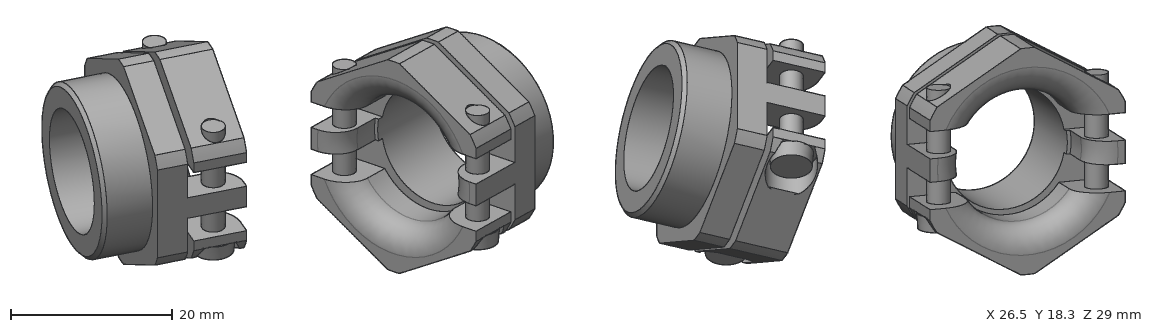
import cadquery as cq
import math

ACROSS_FLATS = 26.0
CORNER_DIAMETER = 29.0
BORE_DIAMETER = 16.0

CLAMP_BORE_DIAMETER = 17.0
MOUTH_RADIUS = 3.5

SPIGOT_LENGTH = 6.5
SPIGOT_DIAMETER = 22.5
SPIGOT_CHAMFER = 0.5
FLANGE_LENGTH = 4.0
SLIT_WIDTH = 0.8
CLAMP_LENGTH = 7.0
clamp_start = FLANGE_LENGTH + SLIT_WIDTH
back_face = clamp_start + CLAMP_LENGTH

TAB_THICKNESS = 3.0
JAW_GAP = 10.0

SCREW_SPACING = 21.0
SCREW_DIAMETER = 3.0
SHANK_LENGTH = 16.0
HEAD_DIAMETER = 5.5
HEAD_END_DIAMETER = 5.2
HEAD_HEIGHT = 2.0
HEAD_SEAT_Z = -6.4
RECESS_DIAMETER = 6.5
RECESS_DEPTH = 4.0
screw_y = clamp_start + CLAMP_LENGTH / 2
screw_positions = [(side * SCREW_SPACING / 2, screw_y) for side in (-1, 1)]

TRIM_SIZE = 2 * CORNER_DIAMETER


def disc(diameter, start, length):
    """Cylinder along +Y from Y = start."""
    plane = cq.Workplane("XZ", origin=(0, start, 0))
    return plane.circle(diameter / 2).extrude(-length)


def hex_ring(start, length):
    """Hexagon with flats on +/-X, corners rounded by a cylinder, bored through."""
    plane = cq.Workplane("XZ", origin=(0, start, 0))
    across_corners = ACROSS_FLATS / math.cos(math.pi / 6)
    hexagon = plane.transformed(rotate=(0, 0, 30)).polygon(6, across_corners).extrude(-length)
    rounded = hexagon.intersect(disc(CORNER_DIAMETER, start, length))
    return rounded.cut(disc(BORE_DIAMETER, start, length))


def clamp_bore():
    """Cutter for the wider bore in the clamp zone and its bell mouth."""
    bore_radius = CLAMP_BORE_DIAMETER / 2
    mouth_start = back_face - MOUTH_RADIUS
    mouth_edge_radius = bore_radius + MOUTH_RADIUS
    arc_reach = MOUTH_RADIUS * math.sin(math.pi / 4)
    arc_middle = (mouth_edge_radius - arc_reach, mouth_start + arc_reach)
    half_profile = (
        cq.Workplane("XY")
        .moveTo(0, clamp_start)
        .lineTo(bore_radius, clamp_start)
        .lineTo(bore_radius, mouth_start)
        .threePointArc(arc_middle, (mouth_edge_radius, back_face))
        .lineTo(0, back_face)
        .close()
    )
    return half_profile.revolve(360, (0, 0), (0, 1))


def slab(bottom, top):
    """Block between two heights, wider than the part."""
    plane = cq.Workplane("XY", origin=(0, 0, bottom))
    return plane.rect(TRIM_SIZE, TRIM_SIZE).extrude(top - bottom)


def screw_cylinders(diameter, bottom, height):
    """One vertical cylinder on each screw axis."""
    plane = cq.Workplane("XY", origin=(0, 0, bottom))
    return plane.pushPoints(screw_positions).circle(diameter / 2).extrude(height)


def make_collar():
    """Bored spigot and hexagonal flange, with a tab on each side for the screws."""
    spigot = disc(SPIGOT_DIAMETER, -SPIGOT_LENGTH, SPIGOT_LENGTH)
    spigot = spigot.faces("<Y").chamfer(SPIGOT_CHAMFER)
    spigot = spigot.cut(disc(BORE_DIAMETER, -SPIGOT_LENGTH, SPIGOT_LENGTH))
    flange = hex_ring(0, FLANGE_LENGTH)
    tabs = hex_ring(0, back_face).intersect(slab(-TAB_THICKNESS / 2, TAB_THICKNESS / 2))
    collar = spigot.union(flange).union(tabs)
    collar = collar.cut(clamp_bore())
    return collar.cut(screw_cylinders(SCREW_DIAMETER, HEAD_SEAT_Z, SHANK_LENGTH))


def make_upper_jaw():
    """Half of the clamp ring that takes the screw ends."""
    jaw = hex_ring(clamp_start, CLAMP_LENGTH).intersect(slab(JAW_GAP / 2, CORNER_DIAMETER))
    jaw = jaw.cut(clamp_bore())
    return jaw.cut(screw_cylinders(SCREW_DIAMETER, 0, CORNER_DIAMETER))


def make_lower_jaw():
    """Half of the clamp ring with recesses for the screw heads."""
    jaw = hex_ring(clamp_start, CLAMP_LENGTH).intersect(slab(-CORNER_DIAMETER, -JAW_GAP / 2))
    jaw = jaw.cut(clamp_bore())
    jaw = jaw.cut(screw_cylinders(SCREW_DIAMETER, HEAD_SEAT_Z, SHANK_LENGTH))
    return jaw.cut(screw_cylinders(RECESS_DIAMETER, HEAD_SEAT_Z, -RECESS_DEPTH))


def make_screw(x, y):
    """Screw pointing up, its low head tapering slightly toward the bottom."""
    head_bottom = HEAD_SEAT_Z - HEAD_HEIGHT
    screw_end = HEAD_SEAT_Z + SHANK_LENGTH
    half_profile = [
        (0, head_bottom),
        (HEAD_END_DIAMETER / 2, head_bottom),
        (HEAD_DIAMETER / 2, HEAD_SEAT_Z),
        (SCREW_DIAMETER / 2, HEAD_SEAT_Z),
        (SCREW_DIAMETER / 2, screw_end),
        (0, screw_end),
    ]
    screw = cq.Workplane("XZ").polyline(half_profile).close().revolve(360, (0, 0), (0, 1))
    return screw.translate((x, y, 0))


collar = make_collar()
upper_jaw = make_upper_jaw()
lower_jaw = make_lower_jaw()
screws = [make_screw(x, y) for x, y in screw_positions]

result = cq.Compound.makeCompound(
    [
        collar.solids().val(),
        upper_jaw.solids().val(),
        lower_jaw.solids().val(),
        *[screw.val() for screw in screws],
    ]
)